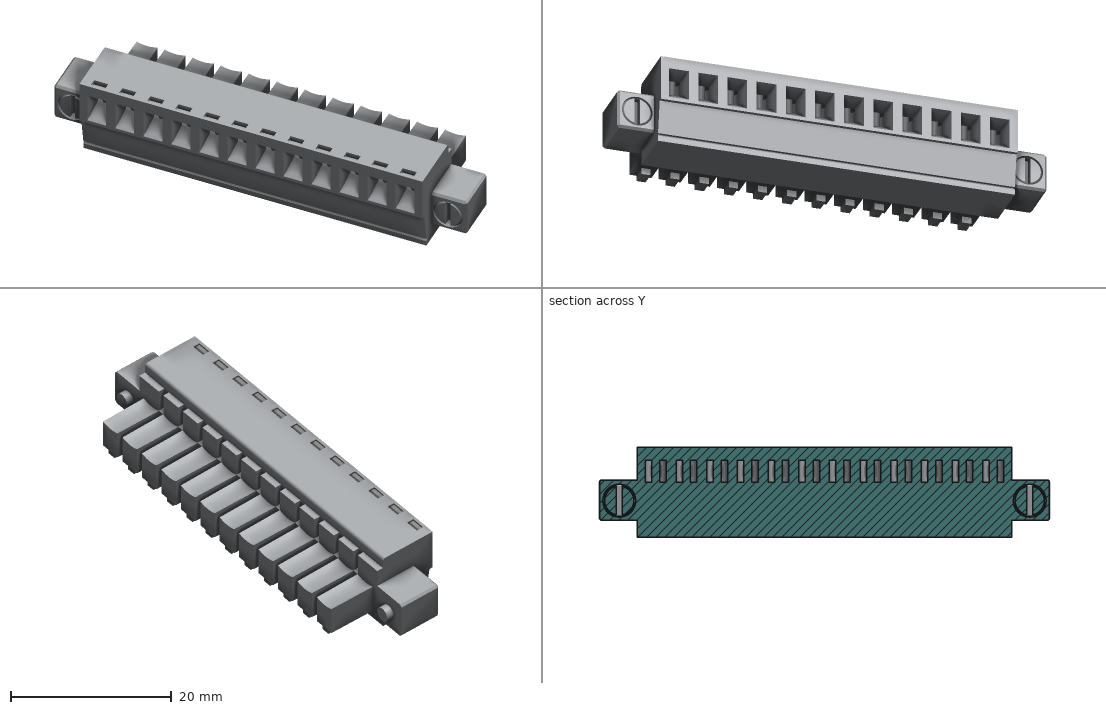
import cadquery as cq
import math

contact_count = 12
pitch = 3.81

body_length = 46.6
body_height = 11.3
body_depth = 8.9
foot_front_y = 1.2
foot_back_y = 7.95
foot_back_top_z = 2.15
face_bottom_z = 5.3
lip_depth = 0.5
slope_bottom_z = 1.07
groove_height = 0.35
groove_depth = 0.35
ledge_y = 8.0
ledge_z = 9.8
rear_round = 0.45

gap_width = 0.9
gap_bottom_z = 6.6

entry_width = 2.57
entry_bottom_z = 5.75
entry_top_z = 9.75
neck_width = 1.7
neck_bottom_z = 7.3
neck_top_z = 9.22
funnel_depth = 2.3
cavity_radius = 1.3
cavity_overrun = 0.4
post_radius = 0.6

recess_width = 1.9
recess_front_y = 0.4
recess_ridge_y = 0.9
recess_back_y = 1.4
recess_ledge_drop = 0.25
recess_bottom_drop = 0.75

contact_tip_y = 15.5
contact_root_width = 3.0
contact_tip_width = 2.85
contact_bottom_z = 2.55
contact_top_z = 6.6
contact_root_y = 8.5
trough_sag = 0.3
toe_start_y = 13.3
toe_end_y = 15.3
toe_bottom_z = 1.7
toe_width = 1.2

overall_length = 56.11
flange_bottom_z = 2.05
flange_top_z = 7.3
flange_front_y = 2.8
flange_chamfer = 0.3

screw_x = 25.5
screw_z = 4.6
head_radius = 2.0
head_face_radius = 1.72
head_edge_depth = 0.4
driver_slot_width = 0.7
driver_slot_length = 3.6
driver_slot_depth = 1.0
screw_tip_radius = 1.0
screw_tip_length = 1.0

contact_positions = [(i - (contact_count - 1) / 2) * pitch for i in range(contact_count)]
gap_positions = [x + pitch / 2 for x in contact_positions[:-1]]


def box(x_range, y_range, z_range):
    """Box between the given limits."""
    size = [limits[1] - limits[0] for limits in (x_range, y_range, z_range)]
    corner = (x_range[0], y_range[0], z_range[0])
    return cq.Workplane("XY").box(*size, centered=False).translate(corner)


def prism_along_x(points, center_x, width):
    """Prism with a (Y, Z) outline, centred on center_x."""
    prism = cq.Workplane("YZ").polyline(points).close().extrude(width / 2, both=True)
    return prism.translate((center_x, 0, 0))


def housing():
    groove_bottom_z = slope_bottom_z - groove_height
    outline = [
        (0, body_height),
        (0, face_bottom_z),
        (lip_depth, face_bottom_z),
        (foot_front_y, slope_bottom_z),
        (foot_front_y + groove_depth, slope_bottom_z),
        (foot_front_y, groove_bottom_z),
        (foot_front_y, 0),
        (foot_back_y, 0),
        (foot_back_y, foot_back_top_z),
        (body_depth, foot_back_top_z),
        (body_depth, ledge_z),
        (ledge_y, ledge_z),
        (ledge_y, body_height),
    ]
    block = prism_along_x(outline, 0, body_length)
    top_rear_corner = (0, ledge_y, body_height)
    return block.edges(cq.selectors.NearestToPointSelector(top_rear_corner)).fillet(rear_round)


def rear_gap(x):
    half = gap_width / 2
    return box((x - half, x + half), (ledge_y, body_depth), (gap_bottom_z, body_height))


def entry_section(x, y, width, bottom_z, top_z):
    """Rectangular wire of a wire entry at depth y."""
    half = width / 2
    corners = [(x - half, bottom_z), (x + half, bottom_z), (x + half, top_z), (x - half, top_z)]
    return cq.Wire.makePolygon([cq.Vector(cx, y, cz) for cx, cz in corners], close=True)


def wire_entry(x):
    """Funnel narrowing to a neck that opens into a round cavity around a clamping post."""
    mouth = entry_section(x, 0, entry_width, entry_bottom_z, entry_top_z)
    neck = entry_section(x, funnel_depth, neck_width, neck_bottom_z, neck_top_z)
    funnel = cq.Workplane(obj=cq.Solid.makeLoft([mouth, neck], True))
    cavity_y = funnel_depth + math.sqrt(cavity_radius**2 - (neck_width / 2) ** 2)
    cavity_bottom_z = neck_bottom_z - cavity_overrun
    cavity_top_z = neck_top_z + cavity_overrun
    ring = (
        cq.Workplane("XY", origin=(x, cavity_y, cavity_bottom_z))
        .circle(cavity_radius)
        .circle(post_radius)
        .extrude(cavity_top_z - cavity_bottom_z)
    )
    behind_neck = box(
        (x - cavity_radius, x + cavity_radius),
        (funnel_depth, cavity_y + cavity_radius),
        (cavity_bottom_z, cavity_top_z),
    )
    return funnel.union(ring.intersect(behind_neck))


def marking_recess(x):
    ledge = body_height - recess_ledge_drop
    outline = [
        (recess_front_y, body_height),
        (recess_front_y, ledge),
        (recess_ridge_y, ledge),
        (recess_back_y, body_height - recess_bottom_drop),
        (recess_back_y, body_height),
    ]
    return prism_along_x(outline, x, recess_width)


def contact(x):
    """Tapered plug contact with a shallow trough along its top and a toe under its tip."""
    root = contact_root_width / 2
    tip = contact_tip_width / 2
    plan = [(-root, contact_root_y), (root, contact_root_y), (tip, contact_tip_y), (-tip, contact_tip_y)]
    blade = (
        cq.Workplane("XY", origin=(0, 0, contact_bottom_z))
        .polyline(plan)
        .close()
        .extrude(contact_top_z - contact_bottom_z)
    )
    trough = (
        cq.Workplane("XZ", origin=(0, body_depth, contact_top_z))
        .moveTo(-root, 0)
        .threePointArc((0, -trough_sag), (root, 0))
        .close()
        .extrude(body_depth - contact_tip_y)
    )
    toe = box((-toe_width / 2, toe_width / 2), (toe_start_y, toe_end_y), (toe_bottom_z, contact_bottom_z))
    return blade.cut(trough).union(toe).translate((x, 0, 0))


def flange(end_x):
    """Block beside the housing, chamfered around its front and along its outer end."""
    inner_x = body_length / 2 if end_x > 0 else -body_length / 2
    outer_side = ">X" if end_x > 0 else "<X"
    block = box(sorted((inner_x, end_x)), (flange_front_y, body_depth), (flange_bottom_z, flange_top_z))
    inner_side = "<X" if end_x > 0 else ">X"
    return block.edges(f"(<Y or ({outer_side} and |Y)) and (not {inner_side})").chamfer(flange_chamfer)


def screw_tip(x):
    return (
        cq.Workplane("XZ", origin=(x, body_depth, screw_z))
        .circle(screw_tip_radius)
        .extrude(-screw_tip_length)
    )


def screw_head_cut(x):
    """Clearance around the bevelled screw head, plus the driver slot across it."""
    face = cq.Workplane("XZ", origin=(x, flange_front_y, screw_z))
    bevelled_head = cq.Workplane(
        obj=cq.Solid.makeCone(
            head_face_radius, head_radius, head_edge_depth,
            pnt=cq.Vector(x, flange_front_y, screw_z), dir=cq.Vector(0, 1, 0),
        )
    )
    clearance = face.circle(head_radius).extrude(-head_edge_depth).cut(bevelled_head)
    driver_slot = face.rect(driver_slot_width, driver_slot_length).extrude(-driver_slot_depth)
    return clearance.union(driver_slot)


result = housing()
for x in gap_positions:
    result = result.cut(rear_gap(x))
for end_x in (-overall_length / 2, overall_length / 2):
    result = result.union(flange(end_x))
for x in (-screw_x, screw_x):
    result = result.union(screw_tip(x)).cut(screw_head_cut(x))
for x in contact_positions:
    result = result.union(contact(x)).cut(wire_entry(x)).cut(marking_recess(x))